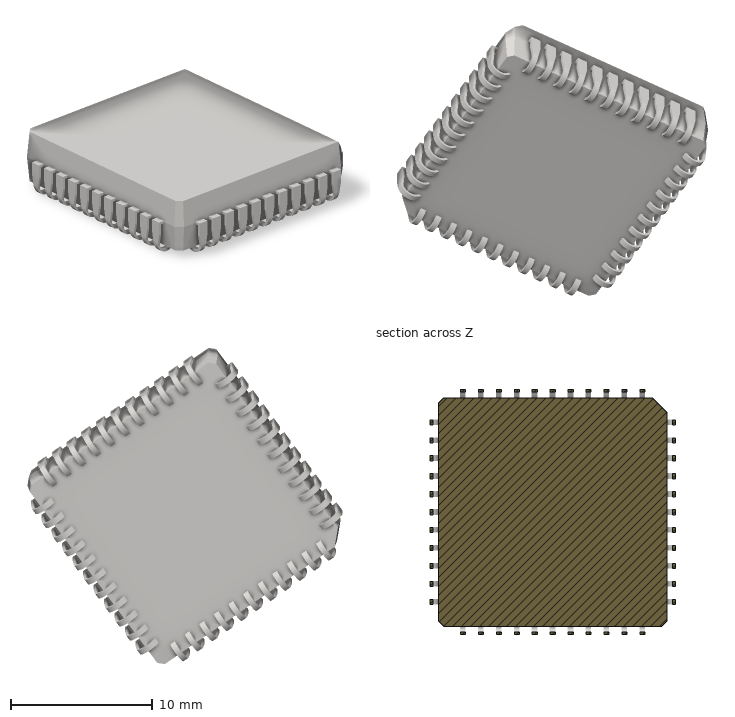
import cadquery as cq
import math

overall_width = 17.52
overall_height = 4.38

body_width = 16.57
body_bottom = 0.5
body_draft = 5.5
corner_cut = 0.49
index_corner_cut = 1.14
top_bevel = 1.07

leads_per_side = 11
lead_pitch = 1.27
lead_thickness = 0.2
lead_width = 0.74
lead_tip_width = 0.4
taper_start = 1.56
taper_end = 0.63
bend_radius = 0.88
tip_angle = 30.0
lead_embed = 0.35

body_half_height = (overall_height - body_bottom) / 2
parting_height = body_bottom + body_half_height
body_half_width = body_width / 2
lead_reach = overall_width / 2
lead_top = parting_height + lead_thickness / 2


def body_half(extrusion):
    """Half of the body, tapering away from the parting plane."""
    h = body_half_width
    c = corner_cut
    k = index_corner_cut
    outline = [
        (-h + c, -h), (h - c, -h), (h, -h + c), (h, h - k),
        (h - k, h), (-h + c, h), (-h, h - c), (-h, -h + c),
    ]
    return (
        cq.Workplane("XY", origin=(0, 0, parting_height))
        .polyline(outline).close()
        .extrude(extrusion, taper=body_draft)
    )


def bevel_cutter():
    """Prism that removes a 45 degree bevel along the +Y top edge."""
    top_edge = body_half_width - body_half_height * math.tan(math.radians(body_draft))
    bevel_start = top_edge - top_bevel
    bevel_run = lead_reach - bevel_start
    return (
        cq.Workplane("YZ")
        .moveTo(bevel_start, overall_height)
        .lineTo(lead_reach, overall_height)
        .lineTo(lead_reach, overall_height - bevel_run)
        .close()
        .extrude(lead_reach, both=True)
    )


def lead_strip():
    """Constant-width J strip on the +X side: shoulder, straight leg, curl under the body."""
    inner_radius = bend_radius - lead_thickness
    bend_x = lead_reach - bend_radius

    def bend_point(radius, angle):
        a = math.radians(angle)
        return bend_x + radius * math.cos(a), bend_radius - radius * math.sin(a)

    end_angle = 180 - tip_angle
    shoulder_end = body_half_width - lead_embed
    return (
        cq.Workplane("XZ")
        .moveTo(shoulder_end, lead_top)
        .lineTo(lead_reach, lead_top)
        .lineTo(lead_reach, bend_radius)
        .threePointArc(bend_point(bend_radius, 90), bend_point(bend_radius, end_angle))
        .lineTo(*bend_point(inner_radius, end_angle))
        .threePointArc(bend_point(inner_radius, 90), bend_point(inner_radius, 0))
        .lineTo(lead_reach - lead_thickness, lead_top - lead_thickness)
        .lineTo(shoulder_end, lead_top - lead_thickness)
        .close()
        .extrude(lead_width / 2, both=True)
    )


def lead_face():
    """Face outline of a lead, narrowing from the leg to the tip, extruded along X."""
    w = lead_width / 2
    t = lead_tip_width / 2
    outline = [
        (-w, lead_top), (-w, taper_start), (-t, taper_end), (-t, 0),
        (t, 0), (t, taper_end), (w, taper_start), (w, lead_top),
    ]
    return cq.Workplane("YZ").polyline(outline).close().extrude(lead_reach)


body = body_half(body_half_height).union(body_half(-body_half_height)).cut(bevel_cutter())

lead = lead_strip().intersect(lead_face())
lead_row = (
    cq.Workplane("XY")
    .rarray(lead_pitch, lead_pitch, 1, leads_per_side)
    .eachpoint(lead.val())
)

result = body
for side in range(4):
    result = result.union(lead_row.rotate((0, 0, 0), (0, 0, 1), 90 * side))